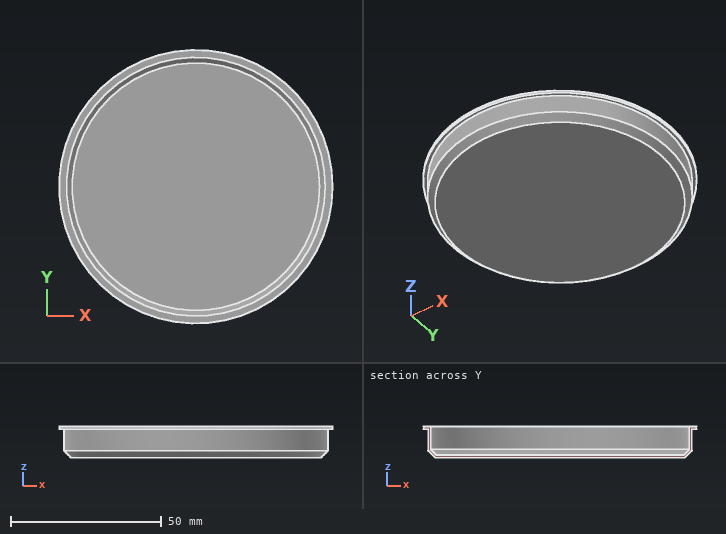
import cadquery as cq
import math

rim_diameter = 91.0
body_diameter = 88.0
inner_diameter = 86.0
height = 10.5
rim_thickness = 1.0
outer_chamfer = 2.5

wall = (body_diameter - inner_diameter) / 2
inner_chamfer = outer_chamfer - wall * (1 - math.tan(math.pi / 8))

body = cq.Workplane("XY").circle(body_diameter / 2).extrude(height).faces("<Z").chamfer(outer_chamfer)

rim = (
    cq.Workplane("XY")
    .workplane(offset=height - rim_thickness)
    .circle(rim_diameter / 2)
    .extrude(rim_thickness)
)

cavity = (
    cq.Workplane("XY")
    .workplane(offset=wall)
    .circle(inner_diameter / 2)
    .extrude(height - wall)
    .faces("<Z")
    .chamfer(inner_chamfer)
)

result = body.union(rim).cut(cavity)